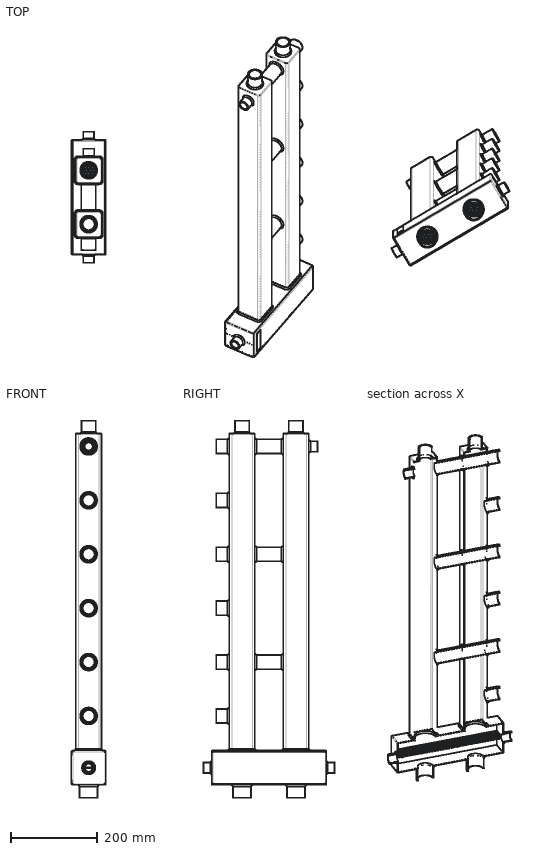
import math

import cadquery as cq


header_side = 80
header_length = 266
header_edge_radius = 4.5
header_end_radius = 3
wall = 3

column_side = 60
column_height = 735
column_spacing = 125
column_edge_radius = 6
column_cap_radius = 2
column_opening_d = 52

circuit_pipe = (33.5, 27.5)
port_pipe = (42.3, 36.3)
vent_pipe = (25, 18.63)

circuit_reach = 30
port_reach = 30
drain_reach = 19
vent_reach = 20

circuit_count = 6
circuit_pitch = 125
top_circuit_drop = 30

weld_width = 3
weld_height = 3.75
column_weld_height = 3.5

divider_thickness = 2
divider_hole_d = 6
divider_pitch = 8
divider_edge_margin = 2

plate_length = 16
plate_height = 58
plate_raise = 0.55
plate_y = 112

front_column_y = -column_spacing / 2
back_column_y = column_spacing / 2
column_half = column_side / 2
column_top = header_side + column_height
header_mid_z = header_side / 2
front_face_y = front_column_y - column_half
back_face_y = back_column_y + column_half
top_circuit_z = column_top - top_circuit_drop
divider_row_pitch = divider_pitch * math.sqrt(3) / 2

UP = cq.Vector(0, 0, 1)
BACK = cq.Vector(0, 1, 0)


def rod(diameter, start, direction, length):
    """Round bar from a start point along a unit direction."""
    return cq.Workplane(cq.Solid.makeCylinder(diameter / 2, length, start, direction))


def pipe_weld(pipe, start, direction):
    """Conical bead around a pipe where it leaves a wall."""
    radius = pipe[0] / 2
    return cq.Workplane(cq.Solid.makeCone(radius + weld_width, radius, weld_height, start, direction))


def stub_body(pipe, start, direction, reach):
    """Solid stub with its weld, rooted in the wall at the start point."""
    stub = rod(pipe[0], start - direction * wall, direction, reach + wall)
    return stub.union(pipe_weld(pipe, start, direction))


def stub_bore(pipe, start, direction, reach):
    """Bore of a stub, reaching through the wall into the cavity behind it."""
    return rod(pipe[1], start - direction * 2 * wall, direction, reach + 2 * wall)


def header_body():
    return (
        cq.Workplane("XY")
        .box(header_side, header_length, header_side, centered=(True, True, False))
        .edges("|Y")
        .fillet(header_edge_radius)
        .faces("<Y or >Y")
        .edges()
        .fillet(header_end_radius)
    )


def header_cavity():
    inner_side = header_side - 2 * wall
    cavity = cq.Workplane("XY").box(inner_side, header_length - 2 * wall, inner_side)
    return cavity.translate((0, 0, header_mid_z))


def column_prism(y, inset):
    """Square tube profile drawn inwards by an inset on every side."""
    side = column_side - 2 * inset
    return (
        cq.Workplane("XY", origin=(0, y, header_side + inset))
        .rect(side, side)
        .extrude(column_height - 2 * inset)
        .edges("|Z")
        .fillet(column_edge_radius - inset)
    )


def column_weld(y):
    """Bead around the foot of a column."""
    foot_side = column_side + 2 * weld_width
    slope = math.degrees(math.atan(weld_width / column_weld_height))
    return (
        cq.Workplane("XY", origin=(0, y, header_side))
        .sketch()
        .rect(foot_side, foot_side)
        .vertices()
        .fillet(column_edge_radius + weld_width)
        .finalize()
        .extrude(column_weld_height, taper=slope)
    )


def column_body(y):
    tube = column_prism(y, 0).faces(">Z").edges().fillet(column_cap_radius)
    return tube.union(column_weld(y))


def column_cavity(y):
    opening_start = cq.Vector(0, y, header_side - 2 * wall)
    return column_prism(y, wall).union(rod(column_opening_d, opening_start, UP, 4 * wall))


def divider():
    """Perforated sheet across the middle of the header cavity."""
    width = header_side - 2 * wall
    length = header_length - 2 * wall
    edge_gap = divider_hole_d / 2 + divider_edge_margin
    row_limit = int((length / 2 - edge_gap) / divider_row_pitch)
    centres = []
    for row in range(-row_limit, row_limit + 1):
        shift = divider_pitch / 2 * (row % 2)
        column_limit = int((width / 2 - edge_gap - shift) / divider_pitch)
        for x_step in range(-column_limit - row % 2, column_limit + 1):
            centres.append((x_step * divider_pitch + shift, row * divider_row_pitch))
    holes = (
        cq.Workplane("XY")
        .pushPoints(centres)
        .circle(divider_hole_d / 2)
        .extrude(divider_thickness, both=True)
    )
    sheet = cq.Workplane("XY").box(width, length, divider_thickness)
    return sheet.cut(holes).translate((0, 0, header_mid_z))


def nameplate():
    plate = cq.Workplane("XY").box(plate_raise + wall / 2, plate_length, plate_height)
    centre_x = -header_side / 2 - plate_raise / 2 + wall / 4
    return plate.translate((centre_x, plate_y, header_mid_z))


stubs = [(vent_pipe, cq.Vector(0, back_face_y, top_circuit_z), BACK, vent_reach)]
for column_y in (front_column_y, back_column_y):
    stubs.append((circuit_pipe, cq.Vector(0, column_y, column_top), UP, circuit_reach))
    stubs.append((port_pipe, cq.Vector(0, column_y, 0), -UP, port_reach))
for end in (-1, 1):
    end_point = cq.Vector(0, end * header_length / 2, header_mid_z)
    stubs.append((vent_pipe, end_point, BACK * end, drain_reach))
circuit_heights = [top_circuit_z - i * circuit_pitch for i in range(circuit_count)]
for height in circuit_heights:
    stubs.append((circuit_pipe, cq.Vector(0, front_face_y, height), -BACK, circuit_reach))

body = header_body().union(nameplate())
cavity = header_cavity().cut(divider())
for column_y in (front_column_y, back_column_y):
    body = body.union(column_body(column_y))
    cavity = cavity.union(column_cavity(column_y))
for stub in stubs:
    body = body.union(stub_body(*stub))
    cavity = cavity.union(stub_bore(*stub))

crossing_length = column_spacing + wall
for height in circuit_heights[::2]:
    start = cq.Vector(0, front_face_y, height)
    body = body.union(rod(circuit_pipe[0], start, BACK, crossing_length))
    body = body.union(pipe_weld(circuit_pipe, start + BACK * column_side, BACK))
    body = body.union(pipe_weld(circuit_pipe, start + BACK * column_spacing, -BACK))
    cavity = cavity.cut(rod(circuit_pipe[0], start, BACK, crossing_length))
    cavity = cavity.union(rod(circuit_pipe[1], start, BACK, crossing_length + wall))

result = body.cut(cavity).solids()